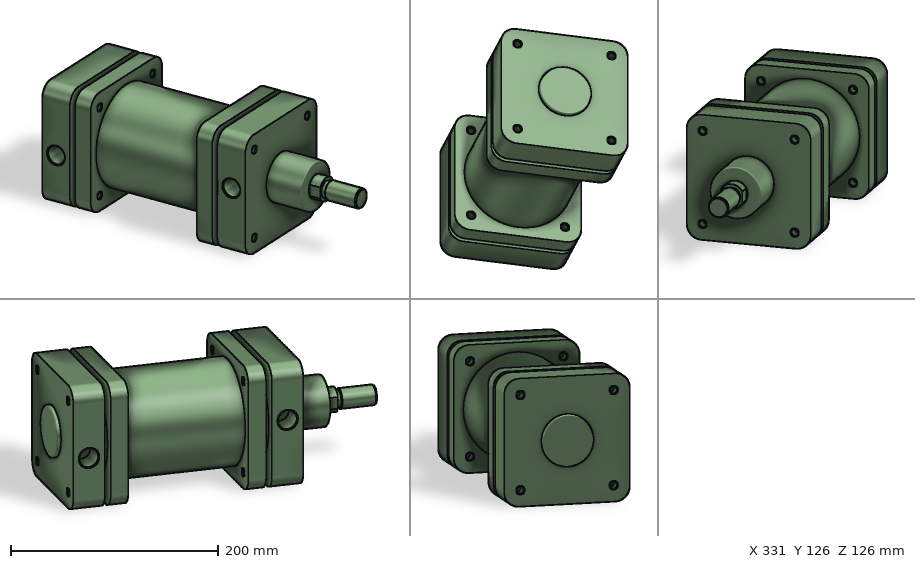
import cadquery as cq


plate_side = 126.0
corner_radius = 15.0
cap_thickness = 32.0
flange_thickness = 18.0
cap_flange_gap = 6.0
flange_spacing = 122.0

barrel_diameter = 107.0
boss_diameter = 51.6
boss_edge_radius = 1.2
rear_boss_length = 4.0
nose_length = 40.2

screw_spacing = 93.5
screw_hole_diameter = 6.8
screw_hole_depth = 12.0
screw_hole_chamfer = 1.0

port_diameter = 19.0
port_depth = 25.0
port_chamfer = 1.0
port_offset = 8.0

rod_diameter = 25.0
rod_flats_width = 22.0
rod_collar_length = 12.3
neck_diameter = 18.0
neck_length = 4.0
thread_diameter = 20.5
thread_length = 36.5
thread_inner_chamfer = 1.0
thread_end_chamfer_length = 1.6
thread_end_chamfer_depth = 1.0

rear_flange_start = cap_thickness + cap_flange_gap
rear_flange_end = rear_flange_start + flange_thickness
front_flange_start = rear_flange_end + flange_spacing
front_flange_end = front_flange_start + flange_thickness
front_cap_start = front_flange_end + cap_flange_gap
front_cap_end = front_cap_start + cap_thickness
nose_end = front_cap_end + nose_length
collar_end = nose_end + rod_collar_length
neck_end = collar_end + neck_length
rod_end = neck_end + thread_length


def cylinder(diameter, start, end):
    """Solid cylinder on the X axis between two stations."""
    return (
        cq.Workplane("YZ", origin=(start, 0, 0))
        .circle(diameter / 2)
        .extrude(end - start)
    )


def square_plate(start, thickness):
    """Square plate with rounded corners, centred on the X axis."""
    return (
        cq.Workplane("YZ", origin=(start, 0, 0))
        .rect(plate_side, plate_side)
        .extrude(thickness)
        .edges("|X")
        .fillet(corner_radius)
    )


def chamfered_hole(diameter, depth, chamfer, mouth, direction):
    """Blind hole cutter with a 45 degree chamfer at its mouth."""
    mouth_radius = diameter / 2 + chamfer
    mouth_point = cq.Vector(*mouth)
    axis = cq.Vector(*direction)
    bore = cq.Solid.makeCylinder(diameter / 2, depth, mouth_point, axis)
    countersink = cq.Solid.makeCone(mouth_radius, 0, mouth_radius, mouth_point, axis)
    return bore.fuse(countersink)


def cut_screw_holes(plate, face_x, direction_x):
    """Four blind screw holes in the plate face at face_x, running along direction_x."""
    for side_y in (-1, 1):
        for side_z in (-1, 1):
            mouth = (face_x, side_y * screw_spacing / 2, side_z * screw_spacing / 2)
            plate = plate.cut(
                chamfered_hole(
                    screw_hole_diameter, screw_hole_depth, screw_hole_chamfer,
                    mouth, (direction_x, 0, 0),
                )
            )
    return plate


def cut_port(cap, port_x, port_z):
    """Air port entering the cap from its -Y side."""
    mouth = (port_x, -plate_side / 2, port_z)
    return cap.cut(chamfered_hole(port_diameter, port_depth, port_chamfer, mouth, (0, 1, 0)))


def make_rear_cap():
    boss = cylinder(boss_diameter, -rear_boss_length, 0).faces("<X").fillet(boss_edge_radius)
    cap = square_plate(0, cap_thickness).union(boss)
    cap = cut_screw_holes(cap, 0, 1)
    return cut_port(cap, cap_thickness / 2, -port_offset)


def make_front_cap():
    nose = cylinder(boss_diameter, front_cap_end, nose_end).faces(">X").fillet(boss_edge_radius)
    cap = square_plate(front_cap_start, cap_thickness).union(nose)
    cap = cap.cut(cylinder(rod_diameter, front_cap_start, nose_end))
    cap = cut_screw_holes(cap, front_cap_end, -1)
    return cut_port(cap, front_cap_start + cap_thickness / 2, port_offset)


def make_flange(start, hole_face_x, hole_direction_x):
    """Flange that fits around the barrel, with screw holes in the face towards mid barrel."""
    flange = square_plate(start, flange_thickness)
    flange = flange.cut(cylinder(barrel_diameter, start, start + flange_thickness))
    return cut_screw_holes(flange, hole_face_x, hole_direction_x)


def make_barrel():
    """Barrel running from one end cap to the other, through both flanges."""
    return cylinder(barrel_diameter, cap_thickness, front_cap_start)


def make_rod():
    """Rod from the barrel out through the nose, with wrench flats and a plain thread end."""
    rod_radius = rod_diameter / 2
    neck_radius = neck_diameter / 2
    thread_radius = thread_diameter / 2
    end_radius = thread_radius - thread_end_chamfer_depth
    rod = (
        cq.Workplane("XY")
        .moveTo(front_cap_start, 0)
        .lineTo(front_cap_start, -rod_radius)
        .lineTo(collar_end, -rod_radius)
        .lineTo(collar_end, -neck_radius)
        .lineTo(neck_end, -neck_radius)
        .lineTo(neck_end + thread_inner_chamfer, -thread_radius)
        .lineTo(rod_end - thread_end_chamfer_length, -thread_radius)
        .lineTo(rod_end, -end_radius)
        .lineTo(rod_end, 0)
        .close()
        .revolve(360, (0, 0, 0), (1, 0, 0))
    )
    flat_depth = (rod_diameter - rod_flats_width) / 2
    flat_centre_y = (rod_flats_width + flat_depth) / 2
    for side in (-1, 1):
        flat_cutter = cq.Workplane("XY").box(rod_collar_length, flat_depth, rod_diameter).translate(
            (nose_end + rod_collar_length / 2, side * flat_centre_y, 0)
        )
        rod = rod.cut(flat_cutter)
    return rod


rear_cap = make_rear_cap()
rear_flange = make_flange(rear_flange_start, rear_flange_end, -1)
barrel = make_barrel()
front_flange = make_flange(front_flange_start, front_flange_start, 1)
front_cap = make_front_cap()
rod = make_rod()

result = cq.Compound.makeCompound(
    [body.val() for body in (rear_cap, rear_flange, barrel, front_flange, front_cap, rod)]
)